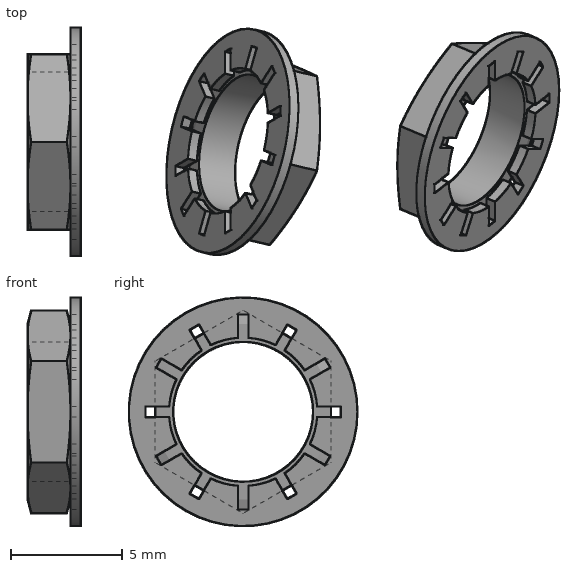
import cadquery as cq
import math

total_length = 2.39
washer_thickness = 0.47
nut_thickness = total_length - washer_thickness

nut_bore_diameter = 6.26
washer_bore_diameter = 6.65
washer_diameter = 10.26

across_flats = 7.88
across_corners = across_flats / math.cos(math.radians(30))
chamfer_angle = 15.0

slot_count = 12
slot_width = 0.47
slot_outer_radius = 4.37


def make_chamfer_envelope():
    """Revolved body that trims the hexagon corners at both nut faces."""
    face_radius = across_flats / 2
    corner_radius = across_corners / 2
    chamfer_depth = (corner_radius - face_radius) * math.tan(math.radians(chamfer_angle))
    return (
        cq.Workplane("XY")
        .moveTo(0, 0)
        .lineTo(0, face_radius)
        .lineTo(chamfer_depth, corner_radius)
        .lineTo(nut_thickness - chamfer_depth, corner_radius)
        .lineTo(nut_thickness, face_radius)
        .lineTo(nut_thickness, 0)
        .close()
        .revolve(360, (0, 0, 0), (1, 0, 0))
    )


def make_nut():
    """Hexagonal nut with corners on +Z and -Z, and a plain bore."""
    hexagon = (
        cq.Workplane("YZ")
        .transformed(rotate=(0, 0, 90))
        .polygon(6, across_corners)
        .extrude(nut_thickness)
    )
    bore = cq.Workplane("YZ").circle(nut_bore_diameter / 2).extrude(nut_thickness)
    return hexagon.intersect(make_chamfer_envelope()).cut(bore)


def make_washer():
    """Flat ring with radial slots that open into the bore and leave inner teeth."""
    washer = (
        cq.Workplane("YZ", origin=(nut_thickness, 0, 0))
        .circle(washer_diameter / 2)
        .circle(washer_bore_diameter / 2)
        .extrude(washer_thickness)
    )
    slot = cq.Workplane("XY").box(
        washer_thickness, slot_outer_radius, slot_width, centered=(False, False, True)
    ).translate((nut_thickness, 0, 0))
    for index in range(slot_count):
        angle = index * 360 / slot_count
        washer = washer.cut(slot.rotate((0, 0, 0), (1, 0, 0), angle))
    return washer


nut = make_nut()
washer = make_washer()

result = cq.Compound.makeCompound([nut.val(), washer.val()])